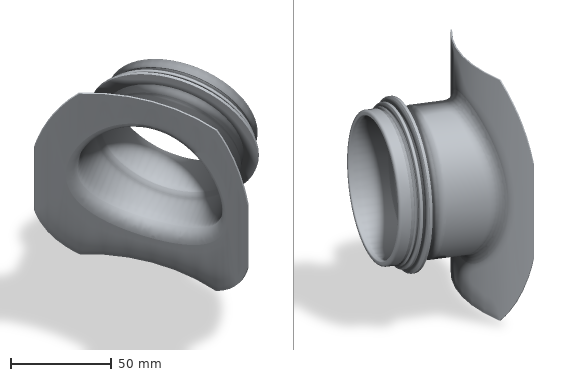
import cadquery as cq
import math


plate_height = 129.0
plate_width = 113.0
plate_inner_radius = 100.0
plate_thickness = 0.8
plate_outer_radius = plate_inner_radius + plate_thickness
side_half_height = 25.5
top_half_width = 36.4
arc_mid_x = 47.5
arc_mid_z = 51.2

collar_outer_radius = 78.0 / 2
collar_inner_radius = 77.0 / 2
neck_outer_radius = 74.3 / 2
neck_inner_radius = 73.3 / 2
outer_flare_radius = 5.0
inner_flare_radius = 6.5

total_depth = 65.1
bead_end = 6.2
bead_radius = 79.1 / 2
bead_rounding = 1.3
mouth_rounding = 0.6
groove_radius = 75.5 / 2
stop_start = 13.8
stop_end = 15.6
stop_radius = 89.4 / 2
stop_bevel_width = 1.4
stop_bevel_depth = 0.4
shoulder_start = 21.2
shoulder_end = 24.4
shoulder_rounding = 2.3
neck_rounding = 0.8

lip_start = 8.0
lip_peak = 8.5
lip_end = 9.5
lip_radius = 80.6 / 2
ring_start = 10.0
ring_end = 11.6
ring_radius = 84.5 / 2
ring_rounding = 0.4

side_angle = math.asin(plate_width / 2 / plate_outer_radius)
free_end_y = plate_inner_radius * math.cos(side_angle) + total_depth
pipe_core_y = plate_inner_radius / 2


def at_depth(depth):
    """Y position at a distance from the collar's free end."""
    return free_end_y - depth


def revolve_about_y(points):
    """Solid of revolution about Y from (radius, y) points."""
    return cq.Workplane("XY").polyline(points).close().revolve(360, (0, 0, 0), (0, 1, 0))


def round_circle(body, circle_radius, y, rounding):
    """Round the circular edge of the given radius lying at height y on the Y axis."""
    tolerance = 0.01
    edges = [
        edge for edge in body.edges("%CIRCLE").vals()
        if abs(edge.radius() - circle_radius) < tolerance
        and abs(edge.arcCenter().y - y) < tolerance
    ]
    return body.newObject(edges).fillet(rounding)


def join_with_flare(collar, pipe_radius, flare_radius):
    """Join a solid collar to the pipe cylinder and round the curve where they meet."""
    pipe = cq.Workplane("XY").circle(pipe_radius).extrude(plate_height / 2, both=True)
    joined = pipe.union(collar)
    meeting_curve = [
        edge for edge in joined.edges().vals() if edge.geomType() not in ("CIRCLE", "LINE")
    ]
    return joined.newObject(meeting_curve).fillet(flare_radius)


def make_outer_form():
    """Outside of the collar and the plate, filled solid."""
    collar = revolve_about_y([
        (0, pipe_core_y),
        (collar_outer_radius, pipe_core_y),
        (collar_outer_radius, at_depth(shoulder_end)),
        (neck_outer_radius, at_depth(shoulder_start)),
        (neck_outer_radius, at_depth(stop_end)),
        (stop_radius, at_depth(stop_end)),
        (stop_radius, at_depth(stop_start + stop_bevel_depth)),
        (stop_radius - stop_bevel_width, at_depth(stop_start)),
        (groove_radius, at_depth(stop_start)),
        (groove_radius, at_depth(bead_end)),
        (bead_radius, at_depth(bead_end)),
        (bead_radius, free_end_y),
        (0, free_end_y),
    ])
    collar = round_circle(collar, bead_radius, free_end_y, bead_rounding)
    collar = round_circle(collar, collar_outer_radius, at_depth(shoulder_end), shoulder_rounding)
    collar = round_circle(collar, neck_outer_radius, at_depth(shoulder_start), neck_rounding)
    return join_with_flare(collar, plate_outer_radius, outer_flare_radius)


def make_inner_form():
    """Space inside the collar and under the plate."""
    bore = revolve_about_y([
        (0, pipe_core_y),
        (collar_inner_radius, pipe_core_y),
        (collar_inner_radius, at_depth(shoulder_end)),
        (neck_inner_radius, at_depth(shoulder_start)),
        (neck_inner_radius, free_end_y),
        (0, free_end_y),
    ])
    bore = round_circle(bore, collar_inner_radius, at_depth(shoulder_end), shoulder_rounding)
    bore = round_circle(bore, neck_inner_radius, at_depth(shoulder_start), neck_rounding)
    return join_with_flare(bore, plate_inner_radius, inner_flare_radius)


def plate_outline(y):
    """Plate outline on the plane at y, spread along radial lines from the pipe axis."""
    def spread(x):
        return y * math.tan(math.asin(x / plate_outer_radius))

    side_x = spread(plate_width / 2)
    mid_x = spread(arc_mid_x)
    top_x = spread(top_half_width)
    top_z = plate_height / 2
    return (
        cq.Workplane("XZ", origin=(0, y, 0))
        .moveTo(-top_x, top_z)
        .lineTo(top_x, top_z)
        .threePointArc((mid_x, arc_mid_z), (side_x, side_half_height))
        .lineTo(side_x, -side_half_height)
        .threePointArc((mid_x, -arc_mid_z), (top_x, -top_z))
        .lineTo(-top_x, -top_z)
        .threePointArc((-mid_x, -arc_mid_z), (-side_x, -side_half_height))
        .lineTo(-side_x, side_half_height)
        .threePointArc((-mid_x, arc_mid_z), (-top_x, top_z))
        .close()
        .val()
    )


def make_housing():
    """Saddle plate with its collar, made from thin sheet."""
    trim = cq.Solid.makeLoft([plate_outline(pipe_core_y), plate_outline(free_end_y)], True)
    housing = make_outer_form().intersect(cq.Workplane(trim)).cut(make_inner_form())
    return round_circle(housing, neck_inner_radius, free_end_y, mouth_rounding)


def make_gasket():
    """Sealing ring seated in the groove between the end bead and the stop flange."""
    gasket = revolve_about_y([
        (groove_radius, at_depth(bead_end)),
        (collar_outer_radius, at_depth(bead_end)),
        (collar_outer_radius, at_depth(lip_start)),
        (lip_radius, at_depth(lip_peak)),
        (collar_outer_radius, at_depth(lip_end)),
        (collar_outer_radius, at_depth(ring_start)),
        (ring_radius, at_depth(ring_start)),
        (ring_radius, at_depth(ring_end)),
        (collar_outer_radius, at_depth(ring_end)),
        (collar_outer_radius, at_depth(stop_start)),
        (groove_radius, at_depth(stop_start)),
    ])
    for depth in (ring_start, ring_end):
        gasket = round_circle(gasket, ring_radius, at_depth(depth), ring_rounding)
    return gasket


housing = make_housing()
gasket = make_gasket()
result = cq.Compound.makeCompound([housing.val(), gasket.val()])